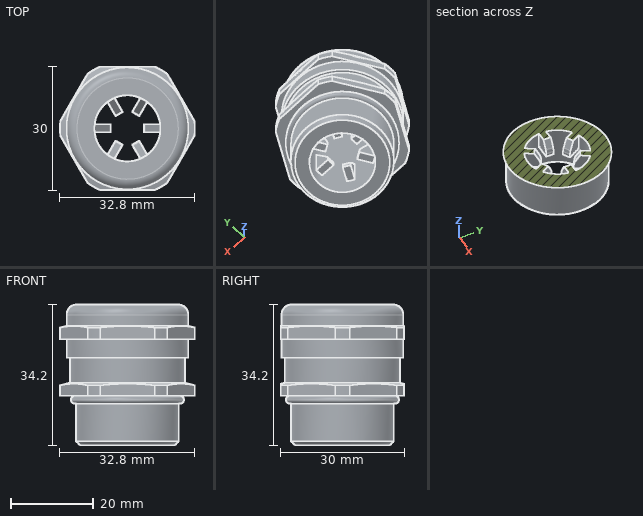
import cadquery as cq
import math

TOTAL_HEIGHT = 34.2
SEAL_BOTTOM = 10.1
BODY_HEX_BOTTOM = 12.0
BODY_HEX_TOP = 15.2
NUT_BOTTOM = 21.2
NUT_HEX_BOTTOM = 25.7
NUT_HEX_TOP = 29.0

THREAD_RADIUS = 12.5
BODY_RADIUS = 14.0
NUT_RADIUS = 14.8
SEAL_RADIUS = 13.75
BORE_RADIUS = 8.0

THREAD_CHAMFER = 1.0
DOME_FILLET = 2.5

HEX_SIDES = 6
HEX_HALF_SECTOR = math.pi / HEX_SIDES
ACROSS_FLATS = 30.0
HEX_CORNER_RADIUS = 16.4
HEX_BEVEL_ANGLE = math.radians(15)

FINGER_COUNT = 6
FINGER_WIDTH = 2.0
FINGER_TIP_RADIUS = 4.0
FINGER_TIP_BEVEL = 0.25
FINGER_TIP_BEVEL_HEIGHT = 1.0
FINGER_SLOPE = math.radians(60)
FINGER_BOTTOM = 6.0
FINGER_TIP_HEIGHT = 1.0
FINGER_ROOT_OVERLAP = 1.0


def cylinder(radius, bottom, top):
    return cq.Workplane("XY").workplane(offset=bottom).circle(radius).extrude(top - bottom)


def wrench_hex(bottom, top, bevel_inner_radius):
    """Hexagon with flats facing +Y and -Y, rounded corners and a conical upper bevel."""
    bevel_drop = (HEX_CORNER_RADIUS - bevel_inner_radius) * math.tan(HEX_BEVEL_ANGLE)
    corner_to_corner = ACROSS_FLATS / math.cos(HEX_HALF_SECTOR)
    prism = (
        cq.Workplane("XY")
        .workplane(offset=bottom)
        .polygon(HEX_SIDES, corner_to_corner)
        .extrude(top - bottom)
    )
    envelope = (
        cq.Workplane("XZ")
        .moveTo(0, bottom)
        .lineTo(HEX_CORNER_RADIUS, bottom)
        .lineTo(HEX_CORNER_RADIUS, top - bevel_drop)
        .lineTo(bevel_inner_radius, top)
        .lineTo(0, top)
        .close()
        .revolve(360, (0, 0, 0), (0, 1, 0))
    )
    return prism.intersect(envelope)


def threaded_end():
    return cylinder(THREAD_RADIUS, 0, BODY_HEX_BOTTOM).faces("<Z").chamfer(THREAD_CHAMFER)


def seal_ring():
    """O-ring seated against the underside of the body hexagon."""
    section_radius = (BODY_HEX_BOTTOM - SEAL_BOTTOM) / 2
    section_center_radius = SEAL_RADIUS - section_radius
    return (
        cq.Workplane("XZ")
        .moveTo(section_center_radius, SEAL_BOTTOM + section_radius)
        .circle(section_radius)
        .revolve(360, (0, 0, 0), (0, 1, 0))
    )


def dome_nut():
    return cylinder(NUT_RADIUS, NUT_BOTTOM, TOTAL_HEIGHT).faces(">Z").edges().fillet(DOME_FILLET)


def contact_finger(angle):
    """Finger with an upper face sloping down toward the axis, ending in a steeper tip."""
    root_radius = BORE_RADIUS + FINGER_ROOT_OVERLAP
    slope_start_radius = FINGER_TIP_RADIUS + FINGER_TIP_BEVEL
    slope_start_height = FINGER_BOTTOM + FINGER_TIP_HEIGHT + FINGER_TIP_BEVEL_HEIGHT
    root_height = slope_start_height + (root_radius - slope_start_radius) * math.tan(FINGER_SLOPE)
    return (
        cq.Workplane("XZ")
        .moveTo(root_radius, FINGER_BOTTOM)
        .lineTo(FINGER_TIP_RADIUS, FINGER_BOTTOM)
        .lineTo(FINGER_TIP_RADIUS, FINGER_BOTTOM + FINGER_TIP_HEIGHT)
        .lineTo(slope_start_radius, slope_start_height)
        .lineTo(root_radius, root_height)
        .close()
        .extrude(FINGER_WIDTH / 2, both=True)
        .rotate((0, 0, 0), (0, 0, 1), angle)
    )


outside = (
    threaded_end()
    .union(cylinder(BODY_RADIUS, BODY_HEX_BOTTOM, NUT_BOTTOM))
    .union(dome_nut())
    .union(wrench_hex(BODY_HEX_BOTTOM, BODY_HEX_TOP, BODY_RADIUS))
    .union(wrench_hex(NUT_HEX_BOTTOM, NUT_HEX_TOP, NUT_RADIUS))
    .union(seal_ring())
)

result = outside.cut(cylinder(BORE_RADIUS, 0, TOTAL_HEIGHT))
for index in range(FINGER_COUNT):
    result = result.union(contact_finger(index * 360 / FINGER_COUNT))